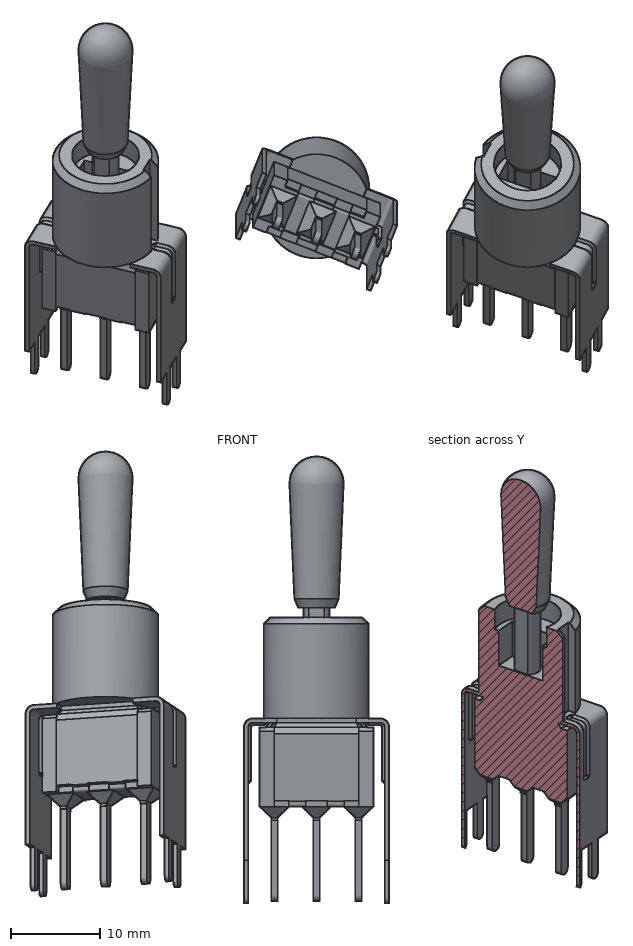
import cadquery as cq
import math


bracket_length = 16.3
bracket_width = 8.0
sheet = 0.5
bend_radius = 1.0
bracket_top = 20.75
leg_bottom = 4.8
bracket_pin_width = 1.2
bracket_pin_spacing = 3.2
relief_length = 8.9

bead_width = 1.4
bead_floor_width = 0.7
bead_depth = 0.3
bead_tip_depth = 0.05
bead_overlap = 0.1
bead_end_length = 0.25
bead_bottom = 13.45
bead_inner_x = 5.6

case_length = 12.75
case_width = 6.4
case_bottom = 10.8
case_top = 19.75
case_bevel = 0.45
neck_bottom_radius = 5.7
neck_top_radius = 5.3

cover_length = 9.5
cover_width = 6.5
cover_bottom = 11.5
cover_bevel_start = 19.0
cover_bevel_inset = 0.35
cover_crown_inset = 0.85
cover_end_inset = 0.3
cover_top_width = cover_width - 2 * cover_crown_inset

base_width = 4.5
base_edge_radius = 0.3
pad_width = 4.8
pad_edge_x = 3.1
middle_pad_length = 2.35
cover_lip = 0.1

terminal_pitch = 4.7
terminal_thickness = 0.75
terminal_width = 1.35
terminal_tip = 0.25
cone_bottom = 9.6
cone_length = 3.2
collar_bottom = 9.3
collar_extra = 0.15

bushing_diameter = 11.85
bushing_top = 32.05
bushing_chamfer = 0.75
bore_diameter = 7.5
bore_floor = 29.5
slot_length = 6.0
slot_width = 2.6
slot_floor = 25.05
keyway_floor_x = 4.9
keyway_width = 2.0

total_height = 50.1
stem_diameter = 2.95
stem_flats = 2.35
grip_bottom = 33.1
grip_bottom_radius = 2.05
grip_taper_top = 34.15
grip_taper_radius = 2.5
dome_radius = 3.05


def block(length, width, bottom, top, x=0.0, y=0.0):
    """Box centred on (x, y) between two heights."""
    return cq.Workplane("XY", origin=(x, y, bottom)).rect(length, width).extrude(top - bottom)


def frustum(lower, upper, bottom, top, x=0.0):
    """Rectangular frustum between two (length, width) sizes."""
    base = cq.Workplane("XY", origin=(x, 0, bottom)).rect(*lower)
    return base.workplane(offset=top - bottom).rect(*upper).loft(ruled=True)


def round_tip_pin(thickness, width, tip, top, x, y):
    """Flat pin with a fully rounded tip in the YZ plane."""
    radius = width / 2
    outline = (
        cq.Workplane("YZ", origin=(x, 0, 0))
        .moveTo(y - radius, top)
        .lineTo(y - radius, tip + radius)
        .threePointArc((y, tip), (y + radius, tip + radius))
        .lineTo(y + radius, top)
        .close()
    )
    return outline.extrude(thickness / 2, both=True)


def bead_section(surface_width, floor_width, depth):
    """Corner offsets (across, inward) of the bead, starting behind the sheet face by the overlap."""
    half_surface = surface_width / 2
    half_floor = floor_width / 2
    return [
        (-half_surface, -bead_overlap),
        (half_surface, -bead_overlap),
        (half_floor, depth),
        (-half_floor, depth),
    ]


def bead(face_inset):
    """Left bead, following the bracket face that lies face_inset below its outer face."""
    side_x = -bracket_length / 2 + face_inset
    top_z = bracket_top - face_inset
    radius = bend_radius - face_inset
    middle = radius * (1 - math.sqrt(0.5))
    low_z = bead_bottom + bead_end_length
    inner_x = -bead_inner_x - bead_end_length

    path = (
        cq.Workplane("XZ")
        .moveTo(side_x, low_z)
        .lineTo(side_x, top_z - radius)
        .threePointArc((side_x + middle, top_z - middle), (side_x + radius, top_z))
        .lineTo(inner_x, top_z)
        .wire()
        .val()
    )
    full = bead_section(bead_width, bead_floor_width, bead_depth)
    tip = bead_section(bead_floor_width, bead_floor_width, bead_tip_depth)

    def leg_wire(section, z):
        return cq.Wire.makePolygon([cq.Vector(side_x + d, y, z) for y, d in section], close=True)

    def top_wire(section, x):
        return cq.Wire.makePolygon([cq.Vector(x, y, top_z - d) for y, d in section], close=True)

    run = cq.Solid.sweep(leg_wire(full, low_z), [], path)
    low_end = cq.Solid.makeLoft([leg_wire(full, low_z), leg_wire(tip, bead_bottom)], True)
    top_end = cq.Solid.makeLoft([top_wire(full, inner_x), top_wire(tip, -bead_inner_x)], True)
    return cq.Workplane(run).union(cq.Workplane(low_end)).union(cq.Workplane(top_end))


def bracket():
    half_length = bracket_length / 2
    strip = block(bracket_length, bracket_width, leg_bottom, bracket_top)
    strip = strip.edges("|Y and >Z").fillet(bend_radius)
    inside = block(bracket_length - 2 * sheet, bracket_width, leg_bottom, bracket_top - sheet)
    inside = inside.edges("|Y and >Z").fillet(bend_radius - sheet)
    body = strip.cut(inside)

    relief_depth = (bracket_width - cover_top_width) / 2
    relief_y = (bracket_width - relief_depth) / 2
    for y in (-relief_y, relief_y):
        relief = block(relief_length, relief_depth, bracket_top - sheet, bracket_top, y=y)
        body = body.cut(relief)

    groove = bead(0.0)
    rib = bead(sheet)
    body = body.union(rib).union(rib.mirror("YZ"))
    body = body.cut(groove).cut(groove.mirror("YZ"))

    pin_x = half_length - sheet / 2
    for x in (-pin_x, pin_x):
        for y in (-bracket_pin_spacing / 2, bracket_pin_spacing / 2):
            body = body.union(round_tip_pin(sheet, bracket_pin_width, 0.0, leg_bottom, x, y))
    return body


def case():
    sides = block(case_length, case_width, case_bottom, case_top)
    sides = sides.faces(">Z").edges("|X").chamfer(case_bevel)
    recess_depth = (case_width - base_width) / 2
    for side in (-1, 1):
        y = side * (case_width - recess_depth) / 2
        sides = sides.cut(block(cover_length, recess_depth, case_bottom, case_top, y=y))
    selector_margin = 0.05
    bottom_edges = cq.selectors.BoxSelector(
        (-cover_length / 2, -base_width / 2 - selector_margin, case_bottom - selector_margin),
        (cover_length / 2, base_width / 2 + selector_margin, case_bottom + selector_margin),
    )
    sides = sides.edges(bottom_edges).edges("|X").fillet(base_edge_radius)

    neck_top = bracket_top - sheet
    neck = cq.Workplane("XY", origin=(0, 0, case_top)).circle(neck_bottom_radius)
    neck = neck.workplane(offset=neck_top - case_top).circle(neck_top_radius).loft()
    neck = neck.intersect(block(case_length, cover_top_width, case_top, neck_top))
    return sides.union(neck)


def cover():
    """Metal cover with a faceted crown that meets the bracket."""
    crown = (cover_length, cover_width - 2 * cover_bevel_inset)
    top = (cover_length - 2 * cover_end_inset, cover_top_width)
    body = block(cover_length, cover_width, cover_bottom, cover_bevel_start)
    body = body.union(frustum((cover_length, cover_width), crown, cover_bevel_start, case_top))
    body = body.union(frustum(crown, top, case_top, bracket_top - sheet))

    gap_start = middle_pad_length / 2
    gap_length = pad_edge_x - gap_start
    gap_middle = (pad_edge_x + gap_start) / 2
    for x in (-gap_middle, gap_middle):
        body = body.union(block(gap_length, cover_width, cover_bottom - cover_lip, cover_bottom, x=x))
    return body


def pads():
    """Blocks under the cover that the terminals leave from."""
    outer_length = cover_length / 2 - pad_edge_x
    outer_x = (cover_length / 2 + pad_edge_x) / 2
    body = block(middle_pad_length, pad_width, case_bottom, cover_bottom)
    for x in (-outer_x, outer_x):
        body = body.union(block(outer_length, pad_width, case_bottom, cover_bottom, x=x))
    return body


def terminal(x):
    pin = round_tip_pin(terminal_thickness, terminal_width, terminal_tip, case_bottom, x, 0.0)
    collar_width = terminal_width + 2 * collar_extra
    collar = block(terminal_thickness, collar_width, collar_bottom, case_bottom, x=x)
    cone = frustum(
        (cone_length, base_width - 2 * base_edge_radius),
        (terminal_thickness, collar_width),
        case_bottom,
        cone_bottom,
        x=x,
    )
    return pin.union(collar).union(cone)


def bushing():
    body = cq.Workplane("XY", origin=(0, 0, bracket_top)).circle(bushing_diameter / 2)
    body = body.extrude(bushing_top - bracket_top).faces(">Z").edges().chamfer(bushing_chamfer)
    bore = cq.Workplane("XY", origin=(0, 0, bore_floor)).circle(bore_diameter / 2)
    body = body.cut(bore.extrude(bushing_top - bore_floor))
    body = body.cut(block(slot_length, slot_width, slot_floor, bore_floor))

    keyway_depth = bushing_diameter / 2 - keyway_floor_x
    keyway_x = keyway_floor_x + keyway_depth / 2
    return body.cut(block(keyway_depth, keyway_width, bracket_top, bushing_top, x=keyway_x))


def lever():
    stem = cq.Workplane("XY", origin=(0, 0, slot_floor)).circle(stem_diameter / 2)
    stem = stem.extrude(grip_bottom - slot_floor)
    stem = stem.intersect(block(stem_diameter, stem_flats, slot_floor, grip_bottom))

    dome_centre = total_height - dome_radius
    diagonal = dome_radius * math.sqrt(0.5)
    grip = (
        cq.Workplane("XZ")
        .moveTo(0, grip_bottom)
        .lineTo(grip_bottom_radius, grip_bottom)
        .lineTo(grip_taper_radius, grip_taper_top)
        .lineTo(dome_radius, dome_centre)
        .threePointArc((diagonal, dome_centre + diagonal), (0, total_height))
        .close()
        .revolve(360, (0, 0, 0), (0, 1, 0))
    )
    return stem.union(grip)


result = case().union(pads()).union(cover()).union(bracket())
for terminal_x in (-terminal_pitch, 0.0, terminal_pitch):
    result = result.union(terminal(terminal_x))
result = result.union(bushing()).union(lever())